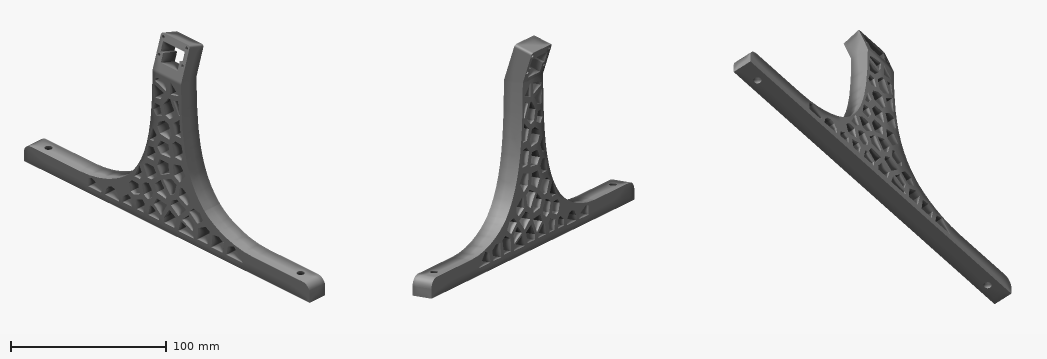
import cadquery as cq
import math


foot_length = 260.4
foot_height = 13.0
foot_corner_radius = 6.5
depth = 14.0
screw_diameter = 5.2
screw_offset = 114.8

flare_half_width = 79.5
seam_half_width = 34.4
seam_height = 29.2
seam_angle = 45.0
foot_pull = 23.2
seam_lower_pull = 8.3
seam_upper_pull = 23.7
stem_pull = 42.7

head_width = 26.0
bend_height = 114.8
head_length = 26.3
lean_angle = 18.0
bend_radius = 6.5
head_corner_radius = 1.8

window_bottom = 7.0
window_step = 13.8
window_top = 21.0
window_lower_width = 15.0
window_upper_width = 19.8

pin_hole_diameter = 2.3
pin_hole_offset = 10.7
pin_hole_rows = (11.5, 23.7)

sill = 5.7
low_sill = 5.0
openings = [
    [(0.3, 112.0), (-8.0, 110.6), (-10.7, 109.5), (-10.7, 107.8), (-0.8, 104.1)],
    [(3.0, 103.0), (11.0, 105.0), (3.0, 112.5)],
    [(-5.7, 96.0), (-1.8, 101.5), (-11.7, 105.0), (-10.7, 95.3)],
    [(6.0, 99.5), (10.7, 90.5), (11.7, 90.5), (10.2, 101.0)],
    [(3.0, 99.5), (1.3, 99.5), (-3.0, 93.2), (-1.3, 86.0), (2.5, 84.5), (8.3, 89.3)],
    [(-12.2, 86.0), (-9.6, 82.3), (-4.5, 84.4), (-6.5, 91.0), (-11.0, 91.5)],
    [(7.8, 74.7), (12.8, 74.7), (11.5, 87.5), (5.0, 82.0)],
    [(-7.5, 78.4), (-8.5, 74.7), (-6.2, 70.3), (2.0, 69.3), (4.5, 73.5), (1.3, 80.7), (-2.3, 81.5)],
    [(-15.5, 62.2), (-12.2, 62.2), (-9.5, 68.0), (-12.8, 72.0)],
    [(7.3, 58.3), (13.0, 58.0), (15.0, 61.7), (13.3, 69.5), (8.0, 70.3), (4.7, 67.0)],
    [(-8.9, 59.5), (-5.5, 55.5), (3.5, 56.2), (1.3, 65.3), (-5.7, 65.3)],
    [(-17.0, 57.0), (-18.2, 48.2), (-12.2, 48.0), (-9.6, 53.5), (-12.2, 57.8)],
    [(17.2, 48.2), (12.5, 54.2), (5.5, 52.3), (6.5, 44.3), (11.7, 41.5)],
    [(-8.9, 45.5), (-5.5, 39.8), (2.3, 44.0), (1.3, 51.3), (-6.5, 51.3)],
    [(-21.3, 41.5), (-17.7, 33.3), (-14.3, 33.0), (-8.5, 37.8), (-12.0, 43.5), (-18.2, 43.5)],
    [(3.0, 28.5), (7.0, 31.0), (8.9, 38.5), (4.0, 41.0), (-3.5, 37.2)],
    [(-25.0, 39.5), (-29.5, 29.5), (-24.7, 29.2), (-21.9, 32.5)],
    [(18.2, 26.8), (21.0, 29.7), (20.8, 33.5), (14.3, 38.0), (12.0, 37.8), (11.0, 30.5)],
    [(-5.7, 36.2), (-11.2, 30.7), (-9.0, 25.5), (-1.0, 24.2), (0.5, 27.3)],
    [(-16.5, 29.5), (-19.3, 29.0), (-22.7, 26.3), (-21.0, 19.3), (-17.5, 17.2), (-13.5, 19.8), (-12.5, 24.0)],
    [(3.6, 21.0), (10.7, 16.0), (17.7, 23.5), (9.5, 27.5), (4.7, 25.3)],
    [(20.5, 23.2), (27.9, 17.2), (33.0, 21.0), (30.2, 26.0), (24.2, 27.0)],
    [(-34.4, 22.5), (-32.8, 16.7), (-30.2, 15.5), (-24.5, 18.0), (-26.0, 25.3), (-31.8, 25.5)],
    [(-11.7, 16.0), (-5.2, 10.2), (0.3, 20.0), (-9.5, 21.0)],
    [(19.8, 20.3), (14.0, 14.5), (23.5, 10.0), (25.0, 15.5)],
    [(-71.3, 11.2), (-71.3, low_sill), (-60.0, low_sill), (-58.8, 7.5), (-68.0, 12.2)],
    [(-56.2, low_sill), (-43.5, low_sill), (-44.5, 9.6), (-46.5, 12.2), (-49.7, 13.3), (-53.0, 12.2),
     (-55.5, 8.9)],
    [(-40.0, sill), (-32.0, sill), (-32.0, 11.5), (-35.5, 13.5), (-40.0, 10.0)],
    [(-28.6, 12.5), (-27.3, sill), (-21.3, sill), (-20.0, 12.5), (-22.0, 14.8)],
    [(-17.0, sill), (-7.0, sill), (-7.0, 9.0), (-13.0, 13.5), (-15.4, 13.5)],
    [(2.0, 17.2), (-2.5, 9.5), (-2.3, sill), (6.8, sill), (8.9, 13.5)],
    [(10.5, low_sill), (24.5, low_sill), (24.2, 7.8), (12.8, 13.3)],
    [(27.9, sill), (37.0, sill), (39.0, 16.0), (35.5, 18.0), (28.6, 14.3)],
    [(42.0, 14.8), (40.5, low_sill), (50.8, low_sill), (52.0, 12.2), (47.5, 15.4)],
    [(54.5, low_sill), (69.0, low_sill), (61.2, 13.8), (55.7, 11.7)],
]

lean = math.radians(lean_angle)
head_plane = cq.Plane(
    origin=(0, 0, bend_height),
    xDir=(1, 0, 0),
    normal=(0, -math.cos(lean), math.sin(lean)),
)


def half_body():
    """Right half of the foot, flare and stem, cut at the centre line."""
    cos_seam = math.cos(math.radians(seam_angle))
    sin_seam = math.sin(math.radians(seam_angle))
    flare_end = (flare_half_width, foot_height)
    foot_control = (flare_half_width - foot_pull, foot_height)
    lower_control = (seam_half_width + seam_lower_pull * cos_seam, seam_height - seam_lower_pull * sin_seam)
    seam = (seam_half_width, seam_height)
    upper_control = (seam_half_width - seam_upper_pull * cos_seam, seam_height + seam_upper_pull * sin_seam)
    stem_control = (head_width / 2, bend_height - stem_pull)
    stem_top = (head_width / 2, bend_height)
    profile = (
        cq.Workplane("XZ")
        .lineTo(foot_length / 2, 0)
        .lineTo(foot_length / 2, foot_height)
        .lineTo(*flare_end)
        .bezier([flare_end, foot_control, lower_control, seam])
        .bezier([seam, upper_control, stem_control, stem_top])
        .lineTo(0, bend_height)
        .close()
    )
    foot_end = cq.selectors.NearestToPointSelector((foot_length / 2, depth / 2, foot_height))
    return profile.extrude(-depth).edges(foot_end).fillet(foot_corner_radius)


def head():
    """Leaning block that continues the stem, with its two upper corners rounded."""
    rise = head_length * math.cos(lean)
    shift = head_length * math.sin(lean)
    thickness = depth * math.cos(lean)
    block = (
        cq.Workplane("YZ")
        .moveTo(0, bend_height)
        .lineTo(shift, bend_height + rise)
        .lineTo(shift + thickness * math.cos(lean), bend_height + rise - thickness * math.sin(lean))
        .lineTo(depth, bend_height)
        .close()
        .extrude(head_width / 2, both=True)
    )
    top_middle = cq.Vector(
        0,
        shift + thickness * math.cos(lean) / 2,
        bend_height + rise - thickness * math.sin(lean) / 2,
    )
    for side in (-1, 1):
        corner = top_middle + cq.Vector(side * head_width / 2, 0, 0)
        upper_edge = cq.selectors.NearestToPointSelector(corner.toTuple())
        block = block.edges(upper_edge).fillet(head_corner_radius)
    return block


def head_window():
    """Stepped opening cut square to the face of the head."""
    lower = window_lower_width / 2
    upper = window_upper_width / 2
    corners = [
        (-lower, window_bottom),
        (lower, window_bottom),
        (lower, window_step),
        (upper, window_step),
        (upper, window_top),
        (-upper, window_top),
        (-upper, window_step),
        (-lower, window_step),
    ]
    return cq.Workplane(head_plane).polyline(corners).close().extrude(depth, both=True)


def head_pin_holes():
    """Four small holes around the window, square to the face of the head."""
    centres = [(side * pin_hole_offset, row) for side in (-1, 1) for row in pin_hole_rows]
    return (
        cq.Workplane(head_plane)
        .pushPoints(centres)
        .circle(pin_hole_diameter / 2)
        .extrude(depth, both=True)
    )


def foot_screw_holes():
    """Vertical holes near both ends of the foot."""
    return (
        cq.Workplane("XY")
        .pushPoints([(-screw_offset, depth / 2), (screw_offset, depth / 2)])
        .circle(screw_diameter / 2)
        .extrude(foot_height)
    )


right_half = half_body()
result = right_half.union(right_half.mirror("YZ")).union(head()).clean()

front_bend = cq.selectors.NearestToPointSelector((0, 0, bend_height))
result = result.edges(front_bend).fillet(bend_radius)

for corners in openings:
    result = result.cut(cq.Workplane("XZ").polyline(corners).close().extrude(-depth))

result = result.cut(head_window()).cut(head_pin_holes()).cut(foot_screw_holes())